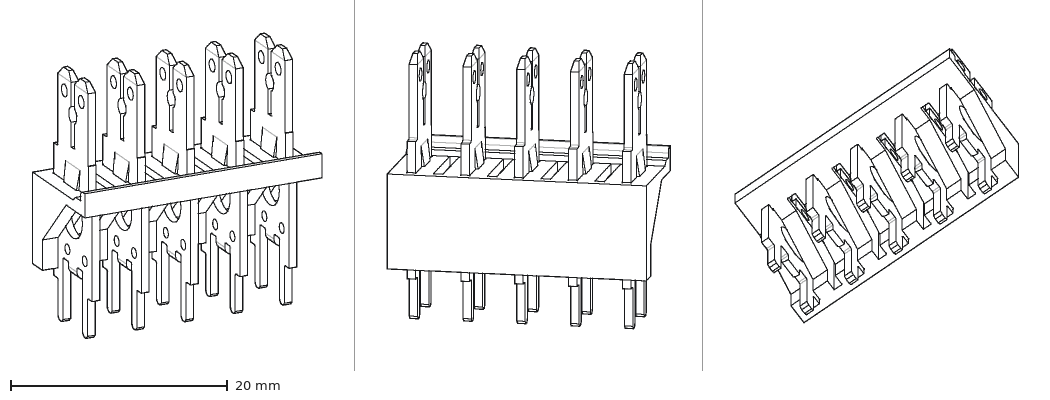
import cadquery as cq

housing_length = 24.45
housing_width = 10.9
housing_bottom = 5.1
housing_top = 14.1
wall_thickness = 2.08
wall_inner_top = 8.1
shelf_bottom = 13.12
shelf_start = 7.0
ramp_start = 8.4
ramp_end = 8.98
ledge_top = 14.52
lip_inner = 10.0
lip_top = 15.5
lip_radius = 0.5

terminal_count = 5
terminal_pitch = 5.08
slot_count = 2 * terminal_count - 1
slot_pitch = terminal_pitch / 2
terminal_left = 1.0
slot_left = terminal_left
slot_right = 8.4
slot_width = 0.9

plate_thickness = 0.8
half_plate = plate_thickness / 2
terminal_height = 25.0
center_x = 5.0
blade_width = 6.3
prong_gap = 0.65
prong_gap_bottom = 17.8
tip_length = 0.85
tip_thickness = 0.45
prong_hole_diameter = 1.2
prong_hole_offset = 1.75
prong_hole_z = 22.9
keyhole_diameter = 1.65
keyhole_z = 21.0

shoulder_top = 17.05
shoulder_right = 8.28
body_right = 9.02
body_right_top = 13.05
body_corner_radius = 0.2
body_bottom = 4.02
relief_radius = 0.18
body_hole_diameter = 4.0
body_hole_z = 11.0

leg_width = 1.05
leg_pitch = 5.1
leg_tip_chamfer = 0.3
leg_gap_top = 6.38
tab_width = 1.8
tab_bottom = housing_bottom

bump_diameter = 1.0
bump_height = 0.15
bump_pitch = 3.6
bump_left = 3.9
bump_z = 7.5
tongue_top = 16.1
tongue_top_width = 3.0
tongue_bottom_width = 2.65
tongue_depth = 0.28


def box(x_min, x_max, y_min, y_max, z_min, z_max):
    """Block between the given limits."""
    size = (x_max - x_min, y_max - y_min, z_max - z_min)
    return cq.Workplane("XY").box(*size, centered=False).translate((x_min, y_min, z_min))


def extrude_profile(profile, thickness):
    """Thicken an X-Z profile equally to both sides of Y = 0."""
    return profile.extrude(thickness / 2, both=True)


def cross_cylinder(x, z, diameter):
    """Cylinder along Y that runs right through a terminal plate."""
    return extrude_profile(cq.Workplane("XZ").center(x, z).circle(diameter / 2), 2 * plate_thickness)


def make_housing():
    """Housing with its lipped shelf and its row of through slots."""
    profile = (
        cq.Workplane("XZ")
        .moveTo(0, housing_bottom)
        .lineTo(wall_thickness, housing_bottom)
        .lineTo(wall_thickness, wall_inner_top)
        .lineTo(shelf_start, shelf_bottom)
        .lineTo(housing_width, shelf_bottom)
        .lineTo(housing_width, lip_top)
        .lineTo(lip_inner + lip_radius, lip_top)
        .radiusArc((lip_inner, lip_top - lip_radius), -lip_radius)
        .lineTo(lip_inner, ledge_top)
        .lineTo(ramp_end, ledge_top)
        .lineTo(ramp_start, housing_top)
        .lineTo(0, housing_top)
        .close()
    )
    body = extrude_profile(profile, housing_length)
    slot = box(slot_left, slot_right, -slot_width / 2, slot_width / 2, housing_bottom, lip_top)
    for index in range(slot_count):
        y = (index - (slot_count - 1) / 2) * slot_pitch
        body = body.cut(slot.translate((0, y, 0)))
    return body


def make_blade():
    """Flat blade with two pointed prongs, thinned towards their tips."""
    half_gap = prong_gap / 2
    half_blade = blade_width / 2
    tip_base = terminal_height - tip_length
    half_tip = tip_thickness / 2
    blade = box(
        center_x - half_blade, center_x + half_blade, -half_plate, half_plate, shoulder_top, prong_gap_bottom
    )
    for side in (-1, 1):
        inner = center_x + side * half_gap
        outer = center_x + side * half_blade
        prong = extrude_profile(
            cq.Workplane("XZ").polyline([
                (inner, prong_gap_bottom),
                (outer, prong_gap_bottom),
                (outer, tip_base),
                (outer - side * tip_length, terminal_height),
                (inner + side * tip_length, terminal_height),
                (inner, tip_base),
            ]).close(),
            plate_thickness,
        )
        blade = blade.union(prong)
        hole_x = center_x + side * prong_hole_offset
        blade = blade.cut(cross_cylinder(hole_x, prong_hole_z, prong_hole_diameter))
    edge_profile = (
        cq.Workplane("YZ")
        .polyline([
            (-half_plate, shoulder_top),
            (half_plate, shoulder_top),
            (half_plate, tip_base),
            (half_tip, terminal_height),
            (-half_tip, terminal_height),
            (-half_plate, tip_base),
        ])
        .close()
        .extrude(housing_width)
    )
    return blade.intersect(edge_profile).cut(cross_cylinder(center_x, keyhole_z, keyhole_diameter))


def make_body():
    """Plate between the blade and the legs, with the large round hole."""
    profile = (
        cq.Workplane("XZ")
        .moveTo(terminal_left, body_bottom)
        .lineTo(body_right, body_bottom)
        .lineTo(body_right, body_right_top - body_corner_radius)
        .radiusArc((body_right - body_corner_radius, body_right_top), -body_corner_radius)
        .lineTo(shoulder_right, body_right_top)
        .lineTo(shoulder_right, shoulder_top)
        .lineTo(terminal_left, shoulder_top)
        .close()
    )
    body = extrude_profile(profile, plate_thickness)
    return body.cut(cross_cylinder(center_x, body_hole_z, body_hole_diameter))


def make_leg(x):
    """Straight leg with both lower corners chamfered."""
    half_leg = leg_width / 2
    leg = box(x - half_leg, x + half_leg, -half_plate, half_plate, 0, leg_gap_top)
    return leg.edges("|Y and <Z").chamfer(leg_tip_chamfer)


def make_tab():
    """Short tab whose lower end curves from the front face round to the back face."""
    side_profile = (
        cq.Workplane("YZ")
        .moveTo(-half_plate, leg_gap_top)
        .lineTo(-half_plate, tab_bottom + plate_thickness)
        .radiusArc((half_plate, tab_bottom), -plate_thickness)
        .lineTo(half_plate, leg_gap_top)
        .close()
    )
    return side_profile.extrude(tab_width / 2, both=True).translate((center_x, 0, 0))


def make_bump(x):
    """Shallow spherical dome on the front face of the plate."""
    radius = bump_diameter / 2
    dome_radius = (radius**2 + bump_height**2) / (2 * bump_height)
    half_section = (
        cq.Workplane("XY")
        .moveTo(0, 0)
        .lineTo(radius, 0)
        .radiusArc((0, -bump_height), dome_radius)
        .close()
    )
    dome = half_section.revolve(360, (0, 0, 0), (0, 1, 0))
    return dome.translate((x, -half_plate, bump_z))


def make_tongue():
    """Wedge that leans out of the plate and stands on top of the housing."""
    face = extrude_profile(
        cq.Workplane("XZ").polyline([
            (center_x - tongue_bottom_width / 2, housing_top),
            (center_x + tongue_bottom_width / 2, housing_top),
            (center_x + tongue_top_width / 2, tongue_top),
            (center_x - tongue_top_width / 2, tongue_top),
        ]).close(),
        2 * plate_thickness,
    )
    wedge = (
        cq.Workplane("YZ")
        .polyline([
            (0, housing_top),
            (-half_plate - tongue_depth, housing_top),
            (-half_plate, tongue_top),
            (0, tongue_top),
        ])
        .close()
        .extrude(housing_width)
    )
    return face.intersect(wedge)


def round_inner_corners(terminal, corners):
    """Round the inner corners that run through the plate at the given (x, z) places."""
    for x, z in corners:
        corner = cq.selectors.NearestToPointSelector((x, 0, z))
        terminal = terminal.edges("|Y").edges(corner).fillet(relief_radius)
    return terminal


def make_terminal():
    """Complete terminal, its plate centred on Y = 0."""
    terminal = make_body().union(make_blade())
    leg_inner = leg_pitch / 2 - leg_width / 2
    leg_outer = leg_pitch / 2 + leg_width / 2
    leg_gap = box(center_x - leg_inner, center_x + leg_inner, -half_plate, half_plate, 0, leg_gap_top)
    terminal = terminal.cut(leg_gap).union(make_tab())
    corners = [(center_x - blade_width / 2, shoulder_top)]
    for side in (-1, 1):
        terminal = terminal.union(make_leg(center_x + side * leg_pitch / 2))
        corners.append((center_x + side * leg_outer, body_bottom))
        corners.append((center_x + side * leg_inner, leg_gap_top))
        corners.append((center_x + side * tab_width / 2, leg_gap_top))
    terminal = round_inner_corners(terminal, corners)
    for x in (bump_left, bump_left + bump_pitch):
        terminal = terminal.union(make_bump(x))
    return terminal.union(make_tongue())


housing = make_housing()
terminal = make_terminal()
terminals = [
    terminal.translate((0, (index - (terminal_count - 1) / 2) * terminal_pitch, 0))
    for index in range(terminal_count)
]

result = cq.Compound.makeCompound([housing.solids().val(), *[item.solids().val() for item in terminals]])